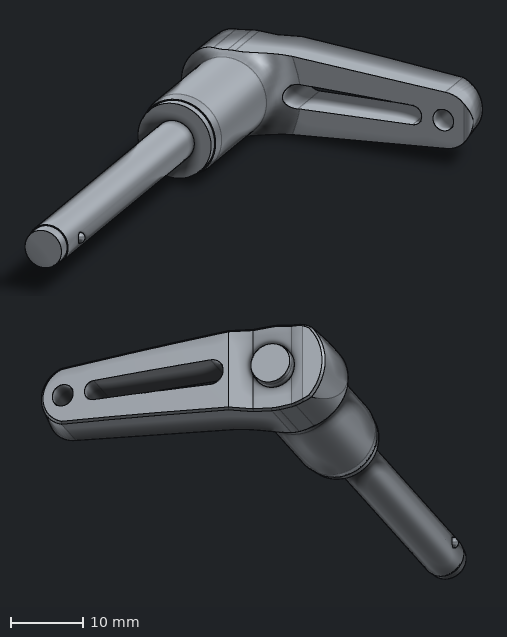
import cadquery as cq
import math

total_length = 78.6

pin_radius = 3.0
tip_length = 1.8
tip_shoulder_radius = 2.8
tip_end_radius = 2.75
ball_radius = 0.8
ball_offset = 2.8
ball_y = 6.2
button_taper_length = 0.55
button_end_radius = 2.8

collar_radius = 5.9
collar_bottom = 47.1
ring_radius = 5.5
ring_top = 48.3
taper_end_radius = 5.65
taper_top = 49.9
flare_start = 66.0
flare_radius = 4.1
flare_top = flare_start + flare_radius
flare_outer_radius = collar_radius + flare_radius

hub_radius = 6.33
nose_x = -8.5
nose_radius = 6.05
nose_center_x = nose_x + nose_radius
tip_center_x = 31.1
tip_radius = 4.2
tip_x = 35.45
tip_top_x = 34.4

head_top = 77.4
button_seat = 76.9
dip_left_x = -4.3
dip_seat_x = -2.5
dip_right_x = 3.1
shoulder_x = 6.3
shoulder_y = 78.05
arm_mid_x = 22.25
arm_mid_y = 76.9
arm_end_top = 75.5
arm_slope_start_x = 8.1
arm_end_bottom = 68.9
tip_bottom_round = 0.95
top_chamfer = 0.3

nose_cut_radius = 7.85
nose_top_x = -7.5

slot_start_x = 8.9
slot_start_radius = 1.8
slot_end_x = 26.4
slot_end_radius = 1.4
hole_radius = 1.6


def revolve_about_pin(profile):
    return profile.close().revolve(360, (0, 0, 0), (0, 1, 0))


def y_workplane(y):
    """Plane normal to the pin: local x is X and local y is Z, with normal -Y."""
    return cq.Workplane(cq.Plane((0, y, 0), (1, 0, 0), (0, -1, 0)))


def tangent_points(x_a, radius_a, x_b, radius_b):
    """Upper points where a line touches two circles centred on the X axis."""
    angle = math.acos((radius_a - radius_b) / (x_b - x_a))
    cosine = math.cos(angle)
    sine = math.sin(angle)
    start = (x_a + radius_a * cosine, radius_a * sine)
    end = (x_b + radius_b * cosine, radius_b * sine)
    return start, end


def mirrored(point):
    return point[0], -point[1]


def lever_wire(y, end_x):
    """Nose, hub and tip arcs joined by tangent lines; the tip arc reaches end_x."""
    nose_point, hub_left = tangent_points(nose_center_x, nose_radius, 0, hub_radius)
    hub_right, tip_point = tangent_points(0, hub_radius, tip_center_x, tip_radius)
    return (
        y_workplane(y)
        .moveTo(*mirrored(nose_point))
        .threePointArc((nose_x, 0), nose_point)
        .lineTo(*hub_left)
        .threePointArc((0, hub_radius), hub_right)
        .lineTo(*tip_point)
        .threePointArc((end_x, 0), mirrored(tip_point))
        .lineTo(*mirrored(hub_right))
        .threePointArc((0, -hub_radius), mirrored(hub_left))
        .close()
        .wire()
        .val()
    )


def slot_cutter():
    start, end = tangent_points(slot_start_x, slot_start_radius, slot_end_x, slot_end_radius)
    return (
        y_workplane(total_length)
        .moveTo(*mirrored(start))
        .threePointArc((slot_start_x - slot_start_radius, 0), start)
        .lineTo(*end)
        .threePointArc((slot_end_x + slot_end_radius, 0), mirrored(end))
        .close()
        .extrude(total_length - flare_start)
    )


def lever_envelope():
    """Lever outline with a sloping tip, from the collar to above the lever."""
    slope = (tip_top_x - tip_x) / (arm_end_top - arm_end_bottom)
    low_x = tip_x + slope * (flare_start - arm_end_bottom)
    high_x = tip_x + slope * (total_length - arm_end_bottom)
    wires = [lever_wire(flare_start, low_x), lever_wire(total_length, high_x)]
    return cq.Workplane(cq.Solid.makeLoft(wires, True))


def arm_slab():
    """Side profile of the lever, wider than the lever in Z."""
    slab = (
        cq.Workplane("XY")
        .moveTo(nose_x, flare_top)
        .lineTo(nose_x, head_top)
        .lineTo(dip_left_x, head_top)
        .lineTo(dip_seat_x, button_seat)
        .lineTo(dip_right_x, button_seat)
        .lineTo(shoulder_x, shoulder_y)
        .threePointArc((arm_mid_x, arm_mid_y), (tip_top_x, arm_end_top))
        .lineTo(tip_x, arm_end_bottom)
        .lineTo(arm_slope_start_x, flare_top)
        .close()
        .extrude(2 * hub_radius, both=True)
    )
    tip_corner = cq.selectors.NearestToPointSelector((tip_x, arm_end_bottom, 0))
    return slab.edges("|Z").edges(tip_corner).fillet(tip_bottom_round)


def flare():
    bend = flare_radius * math.sqrt(0.5)
    profile = (
        cq.Workplane("XY")
        .moveTo(0, flare_start)
        .lineTo(collar_radius, flare_start)
        .threePointArc(
            (flare_outer_radius - bend, flare_start + bend),
            (flare_outer_radius, flare_top),
        )
        .lineTo(0, flare_top)
    )
    return revolve_about_pin(profile)


def nose_cutter():
    """Block beyond the nose with a concave face that follows a tilted cylinder."""
    tilt = cq.Vector(nose_top_x - nose_x, head_top - flare_top, 0)
    plane = cq.Plane((nose_x, flare_top, 0), (tilt.y, -tilt.x, 0), tilt)
    length = 3 * hub_radius
    block = cq.Workplane(plane).rect(2 * nose_cut_radius, 4 * nose_cut_radius).extrude(length, both=True)
    core = cq.Workplane(plane).center(nose_cut_radius, 0).circle(nose_cut_radius).extrude(length, both=True)
    return block.cut(core)


def chamfer_top_rim(arm):
    """Bevel the outer edges of every upward face, leaving the folds between them."""
    top_faces = [face for face in arm.faces().vals() if face.normalAt().y > 0.5]
    edges = [edge for face in top_faces for edge in face.Edges()]
    rim = [edge for edge in edges if sum(edge.isSame(other) for other in edges) == 1]
    return arm.newObject(rim).chamfer(top_chamfer)


def lever():
    envelope = lever_envelope()
    arm = arm_slab().intersect(envelope).cut(nose_cutter())
    arm = chamfer_top_rim(arm)
    body = arm.union(flare().intersect(envelope))
    hole = y_workplane(total_length).center(tip_center_x, 0).circle(hole_radius)
    return body.cut(slot_cutter()).cut(hole.extrude(total_length - flare_start))


def collar():
    profile = (
        cq.Workplane("XY")
        .moveTo(0, collar_bottom)
        .lineTo(ring_radius, collar_bottom)
        .lineTo(ring_radius, ring_top)
        .lineTo(taper_end_radius, ring_top)
        .lineTo(collar_radius, taper_top)
        .lineTo(collar_radius, flare_start)
        .lineTo(0, flare_start)
    )
    return revolve_about_pin(profile)


def pin():
    profile = (
        cq.Workplane("XY")
        .lineTo(tip_end_radius, 0)
        .lineTo(tip_shoulder_radius, tip_length)
        .lineTo(pin_radius, tip_length)
        .lineTo(pin_radius, total_length - button_taper_length)
        .lineTo(button_end_radius, total_length)
        .lineTo(0, total_length)
    )
    body = revolve_about_pin(profile)
    for side in (-1, 1):
        body = body.union(cq.Workplane("XY").sphere(ball_radius).translate((side * ball_offset, ball_y, 0)))
    return body


result = lever().union(collar()).union(pin())